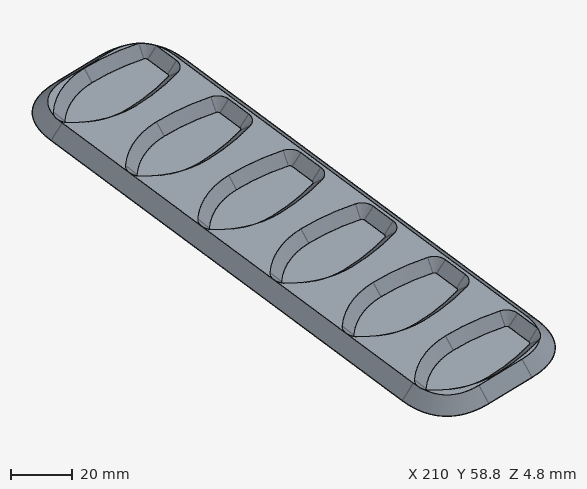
import cadquery as cq
import math

length = 210.0
width = 58.8
height = 4.8
base_corner_reach = 20.0
corner_fullness = 0.65

pocket_count = 6
pocket_pitch = length / pocket_count
pocket_depth = 3.8
floor_half_width = 8.6
floor_back_y = 19.5
widest_y = -1.5
floor_back_side_radius = 75.5
floor_front_side_radius = 26.9
floor_corner_radius = 1.0


def plate_outline(inset):
    """Closed wire of the plate edge, moved inward and upward by the inset."""
    half_length = length / 2 - inset
    half_width = width / 2 - inset
    reach = base_corner_reach - inset
    handle = corner_fullness * reach
    edges = []
    previous_end = None
    for sign_x, sign_y in ((1, 1), (-1, 1), (-1, -1), (1, -1)):
        corner = [
            cq.Vector(sign_x * (half_length - from_end), sign_y * (half_width - from_side), inset)
            for from_end, from_side in (
                (0, reach),
                (0, reach - handle),
                (reach - handle, 0),
                (reach, 0),
            )
        ]
        if sign_x != sign_y:
            corner.reverse()
        if previous_end is None:
            first_start = corner[0]
        else:
            edges.append(cq.Edge.makeLine(previous_end, corner[0]))
        edges.append(cq.Edge.makeBezier(corner))
        previous_end = corner[-1]
    edges.append(cq.Edge.makeLine(previous_end, first_start))
    return cq.Wire.assembleEdges(edges)


def make_plate():
    """Plate between its base outline and the inset top outline."""
    return cq.Workplane(cq.Solid.makeLoft([plate_outline(0), plate_outline(height)], True))


def pocket_outline(outset):
    """Petal wire of four side arcs and a flat back, moved outward and upward by the outset."""
    half_width = floor_half_width + outset
    back_y = floor_back_y + outset
    back_radius = floor_back_side_radius + outset
    front_radius = floor_front_side_radius + outset
    z = height - pocket_depth + outset

    def side_half_width(radius, distance):
        return half_width - radius + math.sqrt(radius**2 - distance**2)

    back_reach = back_y - widest_y
    tip_reach = math.sqrt(front_radius**2 - (front_radius - half_width) ** 2)
    back_half_width = side_half_width(back_radius, back_reach)
    back_mid_half_width = side_half_width(back_radius, back_reach / 2)
    front_mid_half_width = side_half_width(front_radius, tip_reach / 2)
    back_mid_y = widest_y + back_reach / 2
    front_mid_y = widest_y - tip_reach / 2

    sharp_petal = (
        cq.Workplane("XY", origin=(0, 0, z))
        .moveTo(-back_half_width, back_y)
        .lineTo(back_half_width, back_y)
        .threePointArc((back_mid_half_width, back_mid_y), (half_width, widest_y))
        .threePointArc((front_mid_half_width, front_mid_y), (0, widest_y - tip_reach))
        .threePointArc((-front_mid_half_width, front_mid_y), (-half_width, widest_y))
        .threePointArc((-back_mid_half_width, back_mid_y), (-back_half_width, back_y))
        .close()
        .extrude(pocket_depth)
    )
    corners = sharp_petal.edges("|Z").edges(">Y or <Y")
    return corners.fillet(floor_corner_radius + outset).faces("<Z").wires().val()


def make_pocket():
    """Pocket volume flaring from its floor to the top face of the plate."""
    return cq.Workplane(cq.Solid.makeLoft([pocket_outline(0), pocket_outline(pocket_depth)], True))


result = make_plate()
pocket = make_pocket()
for index in range(pocket_count):
    pocket_x = (index - (pocket_count - 1) / 2) * pocket_pitch
    result = result.cut(pocket.translate((pocket_x, 0, 0)))